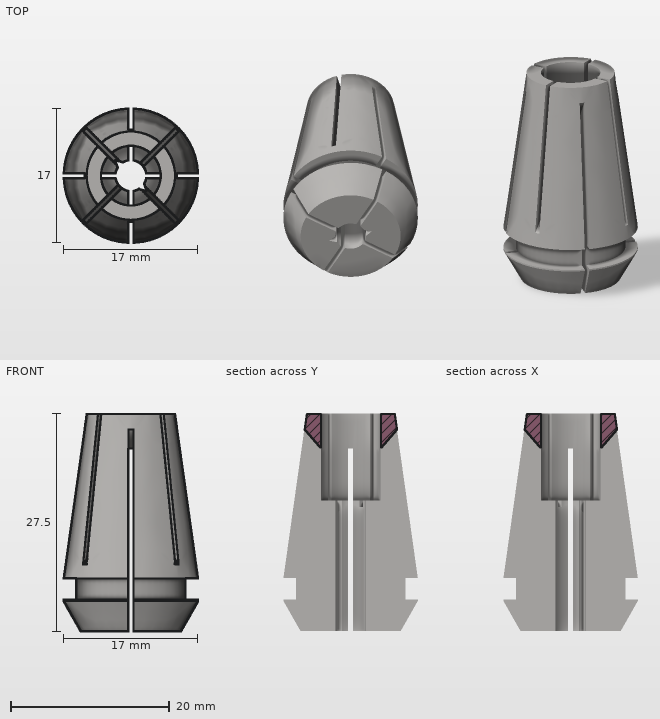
import cadquery as cq
import math

length = 27.5
max_radius = 17.0 / 2
nose_radius = 6.32
rim_start = 3.82
rim_end = 4.02
neck_radius = 6.93
taper_start = 6.7
top_radius = 5.58

bore_radius = 3.77
pilot_radius = 1.95
bore_floor = 16.5

corner_reach = 1.95
corner_root_far = 1.7
corner_root_near = 1.1

slot_width = 0.6
saw_radius = 41.25
lower_slot_inner_end = 23.1
lower_slot_outer_end = 25.52
upper_slot_inner_end = 15.68
upper_slot_outer_end = 8.45
slots_per_side = 4
overshoot = 1.38


def taper_radius(z):
    """Outside radius of the long taper at height z."""
    fraction = (z - taper_start) / (length - taper_start)
    return max_radius + fraction * (top_radius - max_radius)


def make_body():
    """Revolve the outside profile about Z."""
    profile = [
        (0, 0),
        (nose_radius, 0),
        (max_radius, rim_start),
        (max_radius, rim_end),
        (neck_radius, rim_end),
        (neck_radius, taper_start),
        (max_radius, taper_start),
        (top_radius, length),
        (0, length),
    ]
    return cq.Workplane("XZ").polyline(profile).close().revolve(360, (0, 0), (0, 1))


def make_bore():
    """Stepped bore, with the two corners cut into the pilot hole."""
    pilot = cq.Workplane("XY").circle(pilot_radius).extrude(length)
    bore = cq.Workplane("XY", origin=(0, 0, bore_floor)).circle(bore_radius).extrude(length - bore_floor)
    corner_outline = [
        (0, 0),
        (-corner_root_near, corner_root_far),
        (-corner_reach, corner_reach),
        (-corner_root_far, corner_root_near),
    ]
    corner = cq.Workplane("XY").polyline(corner_outline).close().extrude(bore_floor)
    opposite_corner = corner.rotate((0, 0, 0), (0, 0, 1), 180)
    return pilot.union(bore).union(corner).union(opposite_corner)


def saw_arc_midpoint(inner, outer, bulge_up):
    """Midpoint of the saw arc from inner to outer, bowed toward the axis."""
    run = outer[0] - inner[0]
    rise = outer[1] - inner[1]
    chord = math.hypot(run, rise)
    sag = saw_radius - math.sqrt(saw_radius ** 2 - (chord / 2) ** 2)
    side = 1 if bulge_up else -1
    mid_radius = (inner[0] + outer[0]) / 2 - side * sag * rise / chord
    mid_height = (inner[1] + outer[1]) / 2 + side * sag * run / chord
    return mid_radius, mid_height


def make_slot(inner, outer, open_end, angle):
    """Radial slot running from open_end to an arc between inner and outer (radius, height)."""
    outside = max_radius + overshoot
    middle = saw_arc_midpoint(inner, outer, bulge_up=open_end < inner[1])
    slot = (
        cq.Workplane("XZ")
        .moveTo(0, open_end)
        .lineTo(0, inner[1])
        .lineTo(*inner)
        .threePointArc(middle, outer)
        .lineTo(outside, outer[1])
        .lineTo(outside, open_end)
        .close()
        .extrude(slot_width / 2, both=True)
    )
    return slot.rotate((0, 0, 0), (0, 0, 1), angle)


lower_inner = (bore_radius, lower_slot_inner_end)
lower_outer = (taper_radius(lower_slot_outer_end), lower_slot_outer_end)
upper_inner = (pilot_radius, upper_slot_inner_end)
upper_outer = (taper_radius(upper_slot_outer_end), upper_slot_outer_end)

result = make_body().cut(make_bore())
slot_pitch = 360 / slots_per_side
for index in range(slots_per_side):
    lower_angle = index * slot_pitch
    upper_angle = lower_angle + slot_pitch / 2
    result = result.cut(make_slot(lower_inner, lower_outer, -overshoot, lower_angle))
    result = result.cut(make_slot(upper_inner, upper_outer, length + overshoot, upper_angle))